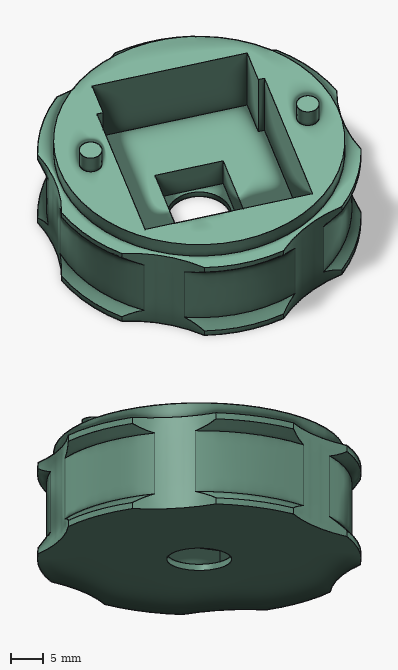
import cadquery as cq
import math

outer_radius = 25.0
ring_height = 15.0
groove_radius = 23.6
rim_height = 1.0
bevel_height = 1.5

scallop_count = 6
scallop_radius = 22.5
scallop_root_radius = 23.15
scallop_first_angle = 30.0

disc_radius = 22.5
disc_top = 17.5
pin_radius = 1.75
pin_height = 3.0
pin_offset = 17.5

pocket_length = 32.0
pocket_width = 27.0
narrow_length = 6.0
narrow_width = 25.0
pocket_floor = 6.0

well_side = 11.0
ledge_length = 8.25
ledge_floor = 4.0
well_floor = 1.0
bore_radius = 5.0


def box_cut(x_min, x_max, width, floor):
    """Rectangular cutter, centred on Y, open above the disc."""
    return cq.Workplane("XY").box(
        x_max - x_min, width, disc_top - floor, centered=(False, True, False)
    ).translate((x_min, 0, floor))


def grip_ring():
    """Revolved ring with a bevelled groove, cut by evenly spaced scallops."""
    ring = (
        cq.Workplane("XZ")
        .moveTo(0, 0)
        .lineTo(outer_radius, 0)
        .lineTo(outer_radius, rim_height)
        .lineTo(groove_radius, rim_height + bevel_height)
        .lineTo(groove_radius, ring_height - rim_height - bevel_height)
        .lineTo(outer_radius, ring_height - rim_height)
        .lineTo(outer_radius, ring_height)
        .lineTo(0, ring_height)
        .close()
        .revolve(360, (0, 0, 0), (0, 1, 0))
    )
    centre_distance = scallop_root_radius + scallop_radius
    for index in range(scallop_count):
        angle = math.radians(scallop_first_angle + index * 360 / scallop_count)
        centre = (centre_distance * math.cos(angle), centre_distance * math.sin(angle))
        scallop = cq.Workplane("XY").center(*centre).circle(scallop_radius).extrude(ring_height)
        ring = ring.cut(scallop)
    return ring


disc = cq.Workplane("XY").circle(disc_radius).extrude(disc_top)
pins = (
    cq.Workplane("XY", origin=(0, 0, disc_top))
    .pushPoints([(0, -pin_offset), (0, pin_offset)])
    .circle(pin_radius)
    .extrude(pin_height)
)
result = grip_ring().union(disc).union(pins)

pocket_end = pocket_length / 2
result = result.cut(box_cut(narrow_length - pocket_end, pocket_end, pocket_width, pocket_floor))
result = result.cut(box_cut(-pocket_end, pocket_end, narrow_width, pocket_floor))

well_end = well_side / 2
result = result.cut(box_cut(-well_end, well_end, well_side, well_floor))
result = result.cut(box_cut(-well_end, well_end + ledge_length, well_side, ledge_floor))

bore = cq.Workplane("XY").circle(bore_radius).extrude(disc_top)
result = result.cut(bore)